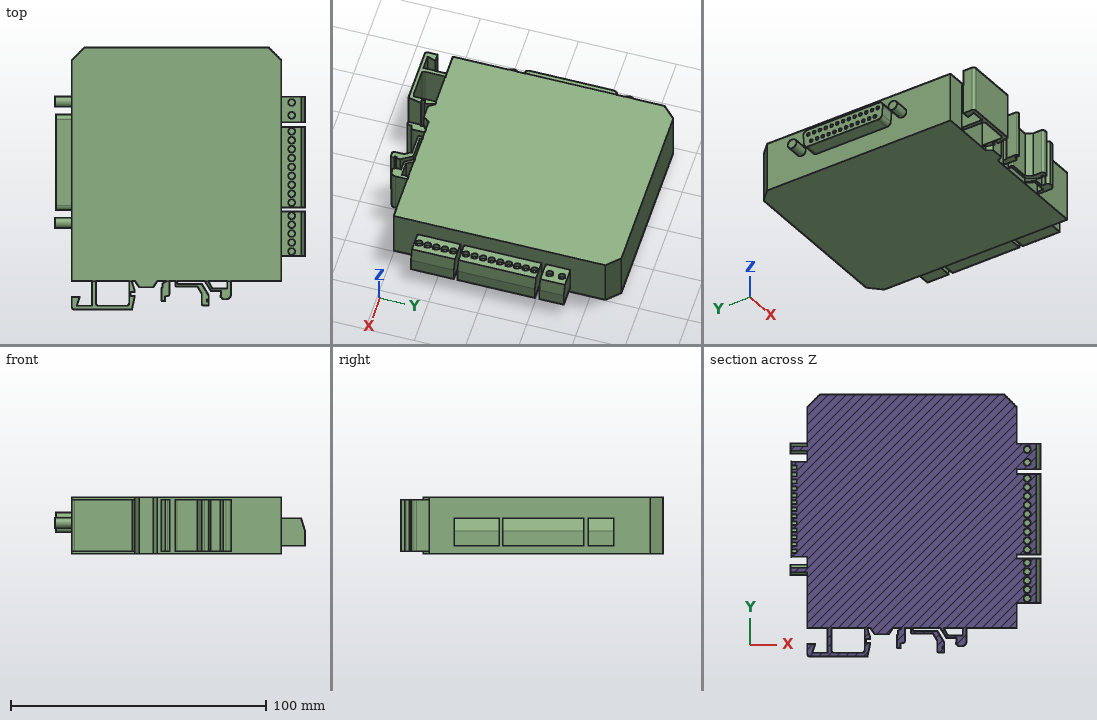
import cadquery as cq


case_width = 82.2
overall_length = 102.7
case_length = 91.5
case_height = 22.3
case_chamfer = 5.0

bump_left = 24.8
bump_right = 33.6
bump_depth = 2.5
bump_slope = 1.6

foot_inset = 1.0
foot_height = case_height - 2 * foot_inset
foot_root = 1.0

claw_depth = overall_length - case_length
claw_floor = 1.5
claw_corner_radius = 1.0
hook_depth = 6.2
hook_top_width = 3.2
hook_base_width = 2.1
web_left = 7.9
web_right = 9.5
claw_wall_left = 22.5
claw_root_right = 23.5
claw_tip_right = 24.8
claw_base_right = 23.6
claw_shoulder_depth = 3.8
claw_bay_radius = 1.0
groove_left = 23.2
groove_top_depth = 4.3
groove_bottom_depth = 5.9

peg_left = 35.1
peg_right = 38.3
peg_root_left = 37.0
peg_bevel_left = 35.5
peg_bevel_depth = 1.0
peg_ledge_depth = 2.4
peg_side_depth = 2.9
peg_depth = 7.9
peg_tip_right = 36.6
peg_heel_depth = 6.0
peg_heel_radius = 0.9
peg_tip_radius = 0.5

spring_left = 40.6
spring_wall = 0.8
spring_arm_top_depth = 1.1
spring_arm_bottom_depth = 2.2
spring_bend_left = 49.2
spring_bend_right = 50.9
spring_leg_left = 50.8
spring_leg_right = 53.7
spring_leg_left_depth = 4.9
spring_leg_right_depth = 5.6
spring_depth = 9.7
spring_tip_left_radius = 1.0
spring_tip_right_radius = 0.4
spring_corner_radius = 0.6
nick_width = 0.7
nick_top_depth = 7.3
nick_bottom_depth = 8.0

latch_root_left = 52.1
latch_root_right = 53.5
latch_bend_left = 54.5
latch_bend_right = 55.0
latch_strip_top_depth = 2.9
latch_strip_bottom_depth = 3.9
latch_post_left = 60.9
latch_post_right = 62.4
latch_head_left = 58.4
latch_lip_left = 58.1
latch_neck_depth = 5.5
latch_lip_depth = 6.0
latch_depth = 7.2
latch_tip_left = 59.3
latch_tip_radius = 2.1

terminal_depth = 9.2
terminal_bottom = 3.2
terminal_top = 14.1
terminal_slope_width = 1.5
terminal_slope_bottom = 9.1
terminal_hole_from_case = 4.0
terminal_hole_radius = 1.3
terminal_hole_depth = 2.1
narrow_pitch = 3.5
wide_pitch = 5.0
terminal_blocks = [
    (9.8, 27.3, 11.6, 5, narrow_pitch),
    (28.8, 60.4, 30.7, 9, narrow_pitch),
    (62.1, 72.2, 64.9, 2, wide_pitch),
]

connector_center_y = 46.5
connector_depth = 6.2
connector_width = 37.8
connector_bottom_width = 36.6
connector_bottom = 8.4
connector_top = 16.3
connector_radius = 1.8
socket_radius = 0.67
socket_depth = 2.1
socket_count = 13
socket_row_span = 32.8
socket_pitch = socket_row_span / (socket_count - 1)
upper_socket_z = 14.1
lower_socket_z = 10.6

post_length = 6.6
post_radius = 2.1
post_spacing = 47.4
post_z = 12.2


def foot(points):
    """Extrude a closed XY outline over the height of the rail feet."""
    return cq.Workplane("XY").workplane(offset=foot_inset).polyline(points).close().extrude(foot_height)


def round_edge(body, x, y, radius):
    """Round the upright edge of a foot that stands at (x, y)."""
    edge = cq.selectors.NearestToPointSelector((x, y, case_height / 2))
    return body.edges(edge).fillet(radius)


def make_case():
    case = cq.Workplane("XY").box(case_width, case_length, case_height, centered=False)
    case = case.edges("|Z and >Y").chamfer(case_chamfer)
    bump = (
        cq.Workplane("XY")
        .polyline([
            (bump_left, foot_root),
            (bump_left, 0),
            (bump_left + bump_slope, -bump_depth),
            (bump_right - bump_slope, -bump_depth),
            (bump_right, 0),
            (bump_right, foot_root),
        ])
        .close()
        .extrude(case_height)
    )
    return case.union(bump)


def make_claw():
    floor_depth = claw_depth - claw_floor
    claw = foot([
        (0, -hook_depth),
        (hook_top_width, -hook_depth),
        (hook_base_width, -floor_depth),
        (web_left, -floor_depth),
        (web_left, foot_root),
        (claw_root_right, foot_root),
        (claw_root_right, 0),
        (claw_tip_right, -claw_shoulder_depth),
        (claw_tip_right, -groove_top_depth),
        (groove_left, -groove_top_depth),
        (groove_left, -groove_bottom_depth),
        (claw_tip_right, -groove_bottom_depth),
        (claw_base_right, -claw_depth),
        (0, -claw_depth),
    ])
    claw = round_edge(claw, 0, -claw_depth, claw_corner_radius)
    bay = foot([
        (web_right, foot_root),
        (web_right, -floor_depth),
        (claw_wall_left, -floor_depth),
        (claw_wall_left, foot_root),
    ])
    bay = bay.edges("|Z and <Y").fillet(claw_bay_radius)
    return claw.cut(bay)


def make_peg():
    peg = foot([
        (peg_root_left, foot_root),
        (peg_root_left, 0),
        (peg_bevel_left, -peg_bevel_depth),
        (peg_bevel_left, -peg_ledge_depth),
        (peg_left, -peg_side_depth),
        (peg_left, -peg_depth),
        (peg_tip_right, -peg_depth),
        (peg_tip_right, -peg_heel_depth),
        (peg_right, -peg_heel_depth),
        (peg_right, foot_root),
    ])
    peg = round_edge(peg, peg_left, -peg_depth, peg_tip_radius)
    return round_edge(peg, peg_right, -peg_heel_depth, peg_heel_radius)


def make_spring():
    arm_inner_left = spring_left + spring_wall
    spring = foot([
        (spring_left, foot_root),
        (spring_left, -spring_arm_bottom_depth),
        (spring_bend_left, -spring_arm_bottom_depth),
        (spring_leg_left, -spring_leg_left_depth),
        (spring_leg_left, -spring_depth),
        (spring_leg_right, -spring_depth),
        (spring_leg_right, -nick_bottom_depth),
        (spring_leg_right - nick_width, -nick_bottom_depth),
        (spring_leg_right - nick_width, -nick_top_depth),
        (spring_leg_right, -nick_top_depth),
        (spring_leg_right, -spring_leg_right_depth),
        (spring_bend_right, -spring_arm_top_depth),
        (arm_inner_left, -spring_arm_top_depth),
        (arm_inner_left, foot_root),
    ])
    spring = round_edge(spring, spring_leg_left, -spring_depth, spring_tip_left_radius)
    spring = round_edge(spring, spring_leg_right, -spring_depth, spring_tip_right_radius)
    spring = round_edge(spring, spring_left, -spring_arm_bottom_depth, spring_corner_radius)
    return round_edge(spring, arm_inner_left, -spring_arm_top_depth, spring_corner_radius)


def make_latch():
    latch = foot([
        (latch_root_left, foot_root),
        (latch_root_left, 0),
        (latch_bend_left, -latch_strip_bottom_depth),
        (latch_head_left, -latch_strip_bottom_depth),
        (latch_head_left, -latch_neck_depth),
        (latch_lip_left, -latch_lip_depth),
        (latch_tip_left, -latch_depth),
        (latch_post_right, -latch_depth),
        (latch_post_right, foot_root),
        (latch_post_left, foot_root),
        (latch_post_left, -latch_strip_top_depth),
        (latch_bend_right, -latch_strip_top_depth),
        (latch_root_right, 0),
        (latch_root_right, foot_root),
    ])
    return round_edge(latch, latch_post_right, -latch_depth, latch_tip_radius)


def make_terminal(start_y, end_y, first_hole_y, hole_count, pitch):
    outer_x = case_width + terminal_depth
    block = (
        cq.Workplane("XZ", origin=(0, end_y, 0))
        .polyline([
            (case_width, terminal_bottom),
            (outer_x, terminal_bottom),
            (outer_x, terminal_slope_bottom),
            (outer_x - terminal_slope_width, terminal_top),
            (case_width, terminal_top),
        ])
        .close()
        .extrude(end_y - start_y)
    )
    hole_x = case_width + terminal_hole_from_case
    holes = (
        cq.Workplane("XY", origin=(0, 0, terminal_top))
        .pushPoints([(hole_x, first_hole_y + i * pitch) for i in range(hole_count)])
        .circle(terminal_hole_radius)
        .extrude(-terminal_hole_depth)
    )
    return block.cut(holes)


def socket_row(count, z):
    """Centres of a row of sockets, evenly spaced about the connector's centre."""
    first_y = connector_center_y - (count - 1) * socket_pitch / 2
    return [(first_y + i * socket_pitch, z) for i in range(count)]


def make_connector():
    top_half = connector_width / 2
    bottom_half = connector_bottom_width / 2
    shell = (
        cq.Workplane("YZ")
        .polyline([
            (connector_center_y - top_half, connector_top),
            (connector_center_y + top_half, connector_top),
            (connector_center_y + bottom_half, connector_bottom),
            (connector_center_y - bottom_half, connector_bottom),
        ])
        .close()
        .extrude(-connector_depth)
        .edges("|X")
        .fillet(connector_radius)
    )
    sockets = (
        cq.Workplane("YZ", origin=(-connector_depth, 0, 0))
        .pushPoints(socket_row(socket_count, upper_socket_z) + socket_row(socket_count - 1, lower_socket_z))
        .circle(socket_radius)
        .extrude(socket_depth)
    )
    return shell.cut(sockets)


def make_posts():
    post_offset = post_spacing / 2
    return (
        cq.Workplane("YZ")
        .pushPoints([(connector_center_y + side * post_offset, post_z) for side in (-1, 1)])
        .circle(post_radius)
        .extrude(-post_length)
    )


result = make_case()
for rail_foot in (make_claw(), make_peg(), make_spring(), make_latch()):
    result = result.union(rail_foot)
for block in terminal_blocks:
    result = result.union(make_terminal(*block))
result = result.union(make_connector()).union(make_posts())